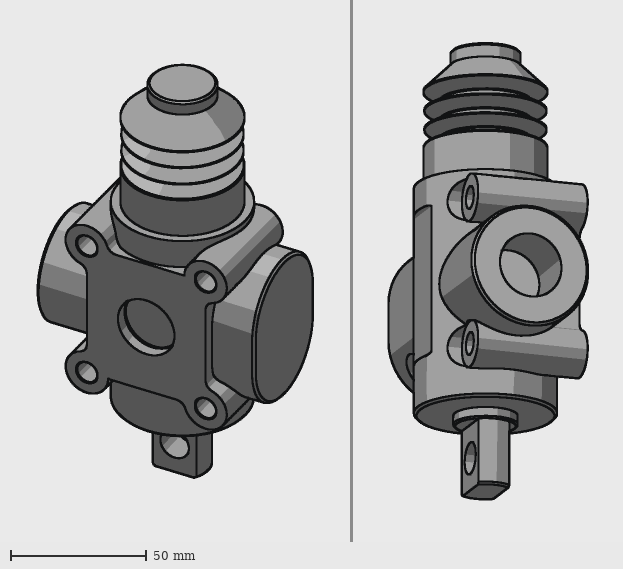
import cadquery as cq
import math

spool_diameter = 23.8

barrel_radius = 26.5
barrel_bottom = -44.8
barrel_top = 42.5
edge_chamfer = 1.0

lug_spacing_x = 50.0
lug_spacing_z = 56.1
lug_middle_z = 2.9
lug_radius = 9.0
lug_hole_diameter = 8.5
lug_hole_chamfer = 0.3
lug_back_y = 15.2
spotface_radius = 8.6
plate_front_y = -27.9
plate_fillet = 4.0

pocket_diameter = 23.8
pocket_depth = 5.0
pocket_step_diameter = 23.5
pocket_step_depth = 0.7
relief_y = 24.7
relief_height = 57.5
relief_fillet = 1.27

port_radius = 23.0
port_left_x = -49.0
port_right_x = 43.0
port_bore_diameter = 24.2
right_port_length_z = 60.2

spool_top = 95.0
overall_height = 169.0
collar_bottom = -48.8
collar_chamfer = 0.7
tang_radius = 11.0
tang_thickness = 12.0
tang_chamfer = 0.8
eye_diameter = 12.0
eye_z = -61.7
boot_radius = 23.0
boot_skirt_top = 58.6
skirt_bevel_width = 0.3
skirt_bevel_height = 0.5
fold_outer_radius = 22.6
fold_inner_radius = 16.7
fold_flat = 0.5
fold_pitch = 7.3
fold_count = 3
fold_rise = 2.9
cap_radius = 13.0
cap_bottom = 89.5
cap_chamfer = 0.8

spool_bottom = spool_top - overall_height
plate_half_x = lug_spacing_x / 2
plate_half_z = lug_spacing_z / 2
barrel_height = barrel_top - barrel_bottom
port_bore_depth = -plate_half_x - port_left_x
lug_centers = [(sx * plate_half_x, sz * plate_half_z) for sx in (-1, 1) for sz in (-1, 1)]


def facing_front(y):
    """Workplane at depth y, centred between the lugs, whose extrusions run toward +Y."""
    return cq.Workplane("XZ", origin=(0, y, lug_middle_z))


def rod_along_y(points, radius, y_start, y_end):
    """Cylinders along Y, centred on the given points measured from the middle of the lugs."""
    return facing_front(y_start).pushPoints(points).circle(radius).extrude(y_start - y_end)


def lug_web(side_x, side_z, along_x):
    """Fillet between one lug and the plate edge beside it; along_x picks the horizontal edge."""
    reach = math.sqrt((lug_radius + plate_fillet) ** 2 - plate_fillet**2)
    touch = lug_radius / (lug_radius + plate_fillet)
    turn = math.atan2(plate_fillet, reach) / 2 + math.pi / 4
    outline = [
        (reach * touch, plate_fillet * touch),
        (reach - plate_fillet * math.cos(turn), plate_fillet - plate_fillet * math.sin(turn)),
        (reach, 0),
    ]

    def place(point):
        along, outward = point
        if along_x:
            return (side_x * (plate_half_x - along), side_z * (plate_half_z + outward))
        return (side_x * (plate_half_x + outward), side_z * (plate_half_z - along))

    start, bend, end = [place(point) for point in outline]
    return (
        facing_front(plate_front_y)
        .moveTo(*place((0, 0)))
        .lineTo(*start)
        .threePointArc(bend, end)
        .close()
        .extrude(plate_front_y)
    )


def make_mounting_plate():
    plate = facing_front(plate_front_y).rect(lug_spacing_x, lug_spacing_z).extrude(plate_front_y)
    plate = plate.union(rod_along_y(lug_centers, lug_radius, plate_front_y, lug_back_y))
    for side_x in (-1, 1):
        for side_z in (-1, 1):
            plate = plate.union(lug_web(side_x, side_z, False))
    for side_x in (-1, 1):
        plate = plate.union(lug_web(side_x, -side_x, True))
    return plate


def make_ports():
    left = cq.Workplane("YZ").circle(port_radius).extrude(port_left_x).faces("<X").chamfer(edge_chamfer)
    right = (
        cq.Workplane("YZ")
        .slot2D(right_port_length_z, 2 * port_radius, 90)
        .extrude(port_right_x)
        .faces(">X")
        .chamfer(edge_chamfer)
    )
    return left.union(right)


def make_back_relief():
    depth = barrel_radius - relief_y
    return (
        cq.Workplane("XY")
        .box(2 * barrel_radius, 2 * depth, relief_height)
        .edges("<Y and |X")
        .fillet(relief_fillet)
        .translate((0, relief_y + depth, lug_middle_z))
    )


def make_lug_holes():
    holes = rod_along_y(lug_centers, lug_hole_diameter / 2, plate_front_y, lug_back_y)
    mouths = (
        facing_front(plate_front_y)
        .pushPoints(lug_centers)
        .circle(lug_hole_diameter / 2 + lug_hole_chamfer)
        .extrude(-lug_hole_chamfer, taper=45)
    )
    return holes.union(mouths)


def make_pocket():
    step_y = plate_front_y + pocket_depth
    pocket = rod_along_y([(0, 0)], pocket_diameter / 2, plate_front_y, step_y)
    return pocket.union(rod_along_y([(0, 0)], pocket_step_diameter / 2, step_y, step_y + pocket_step_depth))


def make_housing():
    barrel = (
        cq.Workplane("XY", origin=(0, 0, barrel_bottom))
        .circle(barrel_radius)
        .extrude(barrel_height)
        .faces("<Z")
        .chamfer(edge_chamfer)
        .cut(make_back_relief())
    )
    housing = barrel.union(make_ports()).union(make_mounting_plate())
    housing = housing.cut(rod_along_y(lug_centers, spotface_radius, lug_back_y, barrel_radius))
    housing = housing.cut(make_lug_holes()).cut(make_pocket())
    port_bore = (
        cq.Workplane("YZ", origin=(port_left_x, 0, 0)).circle(port_bore_diameter / 2).extrude(port_bore_depth)
    )
    spool_bore = (
        cq.Workplane("XY", origin=(0, 0, barrel_bottom)).circle(spool_diameter / 2).extrude(barrel_height)
    )
    return housing.cut(port_bore).cut(spool_bore)


def make_spool():
    """One turned piece: eye tang, collar, rod through the housing, bellows boot and cap."""
    spool_radius = spool_diameter / 2
    profile = (
        cq.Workplane("XZ")
        .moveTo(0, spool_bottom)
        .lineTo(tang_radius - tang_chamfer, spool_bottom)
        .lineTo(tang_radius, spool_bottom + tang_chamfer)
        .lineTo(tang_radius, collar_bottom)
        .lineTo(spool_radius - collar_chamfer, collar_bottom)
        .lineTo(spool_radius, collar_bottom + collar_chamfer)
        .lineTo(spool_radius, barrel_top)
        .lineTo(boot_radius, barrel_top)
        .lineTo(boot_radius, boot_skirt_top - skirt_bevel_height)
        .lineTo(boot_radius - skirt_bevel_width, boot_skirt_top)
    )
    for fold in range(fold_count):
        groove_z = boot_skirt_top + fold_rise + fold * fold_pitch
        rim_z = groove_z + fold_pitch / 2
        rim_radius = boot_radius if fold == fold_count - 1 else fold_outer_radius
        for radius, middle_z in ((fold_inner_radius, groove_z), (rim_radius, rim_z)):
            profile = profile.lineTo(radius, middle_z - fold_flat / 2)
            profile = profile.lineTo(radius, middle_z + fold_flat / 2)
    spool = (
        profile.lineTo(cap_radius, cap_bottom)
        .lineTo(cap_radius, spool_top - cap_chamfer)
        .lineTo(cap_radius - cap_chamfer, spool_top)
        .lineTo(0, spool_top)
        .close()
        .revolve(360, (0, 0, 0), (0, 1, 0))
    )
    tang_length = collar_bottom - spool_bottom
    tang_middle_z = (collar_bottom + spool_bottom) / 2
    tang_width = 2 * tang_radius
    flat_cut = (tang_width - tang_thickness) / 2
    for side in (-1, 1):
        flat_y = side * (tang_thickness + flat_cut) / 2
        flat = cq.Workplane("XY", origin=(0, flat_y, tang_middle_z)).box(tang_width, flat_cut, tang_length)
        spool = spool.cut(flat)
    eye = (
        cq.Workplane("XZ", origin=(0, tang_radius, eye_z)).circle(eye_diameter / 2).extrude(tang_width)
    )
    return spool.cut(eye)


housing = make_housing()
spool = make_spool()
result = cq.Compound.makeCompound([housing.val(), spool.val()])